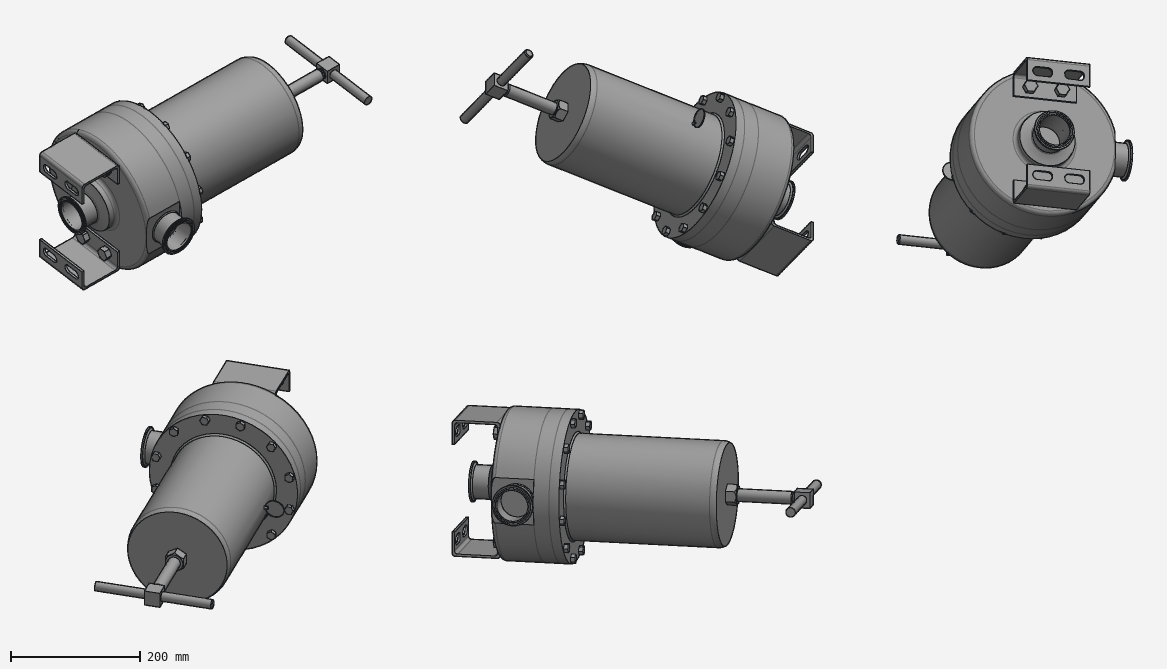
import cadquery as cq
import math


HOUSING_R = 120.5
HOUSING_FACE_Y = 76.0
HOUSING_EDGE_R = 6.5
HOUSING_TOP_Y = 144.0
COVER_SEAM_Y = 169.0
FLANGE_TOP_Y = 184.5
OUTLET_FLAT_X = 114.5

TUBE_R = 83.5
TUBE_WELD = 3.0
CAP_EDGE_Y = 416.0
CAP_END_Y = 426.0
CAP_END_R = 80.5

NUT_FLATS = 29.0
NUT_END_Y = 443.0
NUT_END_R = 14.0
SPINDLE_R = 10.0
SPINDLE_CHAMFER = 1.5
SPINDLE_END_Y = 530.5
NECK_R = 8.0
NECK_FLARE = 1.0
BLOCK_SIDE = 25.0
BLOCK_BASE_Y = 534.5
BLOCK_END_Y = 559.5
HANDLE_DIAMETER = 15.0
HANDLE_LENGTH = 190.0
HANDLE_CHAMFER = 1.5

PIPE_DIAMETER = 53.0
PIPE_R = PIPE_DIAMETER / 2
PIPE_WELD = 1.5
BORE_R = 24.5
RIM_R = 32.0
RIM_THICKNESS = 3.0
FLARE_LENGTH = 2.0
FLARE_R = 30.0
GROOVE_CIRCLE_R = 28.0
GROOVE_DEPTH = 1.0
INLET_END_Y = 22.0
OUTLET_END_X = 145.5
OUTLET_Y = 116.5

BOSS_R = 45.0
BOSS_EDGE_Y = 60.5
BOSS_FILLET = 6.0
BOSS_CURVE_R = 36.0
BOSS_CURVE_Y = 57.5
PIPE_BASE_Y = 53.5

BOLT_COUNT = 12
BOLT_CIRCLE_R = 112.0
BOLT_FLATS = 13.0
BOLT_HEIGHT = 6.5

BRACKET_WIDTH = 101.5
BRACKET_OUTER_Z = 108.5
BRACKET_INNER_Z = 70.0
BRACKET_T = 4.0
BRACKET_BEND_R = 5.0
SLOT_X = 26.0
SLOT_Z = 86.0
SLOT_LENGTH = 32.0
SLOT_WIDTH = 15.0
BRACKET_BOLT_FLATS = 19.0
BRACKET_BOLT_HEIGHT = 10.0

TAG_R = 15.0
TAG_T = 1.5
TAG_X = -100.0
TAG_Y = 239.5
TAG_TILT = -5
TAG_STEM_R = 3.0
TAG_STEM_END_X = -89.5


def y_plane(y):
    """Workplane across the main axis at height y: local x = X, local y = Z, normal = -Y."""
    return cq.Workplane("XZ", origin=(0, y, 0))


def y_cylinder(radius, y_start, y_end):
    return y_plane(y_end).circle(radius).extrude(y_end - y_start)


def hex_prism(flats, y_start, y_end, x=0, z=0, vertex_angle=0):
    """Hexagonal prism along Y with one corner at vertex_angle degrees from +X toward +Z."""
    prism = y_plane(y_end).polygon(6, flats / math.cos(math.pi / 6)).extrude(y_end - y_start)
    return prism.rotate((0, 0, 0), (0, 1, 0), -vertex_angle).translate((x, 0, z))


def revolve_about_y(profile):
    return profile.close().revolve(360, (0, 0, 0), (0, 1, 0))


def make_housing():
    lower = y_cylinder(HOUSING_R, HOUSING_FACE_Y, HOUSING_TOP_Y).faces("<Y").edges().fillet(HOUSING_EDGE_R)
    beyond_flat = cq.Workplane("XY").box(HOUSING_R, 2 * HOUSING_TOP_Y, 2 * HOUSING_R)
    lower = lower.cut(beyond_flat.translate((OUTLET_FLAT_X + HOUSING_R / 2, 0, 0)))
    middle = y_cylinder(HOUSING_R, HOUSING_TOP_Y, COVER_SEAM_Y)
    flange = y_cylinder(HOUSING_R, COVER_SEAM_Y, FLANGE_TOP_Y)
    return lower.union(middle, clean=False).union(flange, clean=False)


def make_chamber():
    return revolve_about_y(
        cq.Workplane("XY")
        .moveTo(0, COVER_SEAM_Y)
        .lineTo(TUBE_R + TUBE_WELD, COVER_SEAM_Y)
        .lineTo(TUBE_R + TUBE_WELD, FLANGE_TOP_Y)
        .lineTo(TUBE_R, FLANGE_TOP_Y + TUBE_WELD)
        .lineTo(TUBE_R, CAP_EDGE_Y)
        .tangentArcPoint((CAP_END_R, CAP_END_Y), relative=False)
        .lineTo(0, CAP_END_Y)
    )


def make_spindle():
    nut = hex_prism(NUT_FLATS, CAP_END_Y, NUT_END_Y, vertex_angle=90)
    blank_r = NUT_FLATS
    nut_cone = y_cylinder(blank_r, CAP_END_Y, NUT_END_Y).faces(">Y").chamfer(blank_r - NUT_END_R)
    shaft = revolve_about_y(
        cq.Workplane("XY")
        .moveTo(0, CAP_END_Y)
        .lineTo(SPINDLE_R, CAP_END_Y)
        .lineTo(SPINDLE_R, SPINDLE_END_Y - SPINDLE_CHAMFER)
        .lineTo(SPINDLE_R - SPINDLE_CHAMFER, SPINDLE_END_Y)
        .lineTo(NECK_R, SPINDLE_END_Y)
        .lineTo(NECK_R, BLOCK_BASE_Y - NECK_FLARE)
        .lineTo(NECK_R + NECK_FLARE, BLOCK_BASE_Y)
        .lineTo(0, BLOCK_BASE_Y)
    )
    return nut.intersect(nut_cone).union(shaft)


def make_handle():
    block_length = BLOCK_END_Y - BLOCK_BASE_Y
    block_y = (BLOCK_BASE_Y + BLOCK_END_Y) / 2
    block = cq.Workplane("XY").box(BLOCK_SIDE, block_length, BLOCK_SIDE)
    bar = cq.Workplane("YZ").circle(HANDLE_DIAMETER / 2).extrude(HANDLE_LENGTH / 2, both=True)
    bar = bar.faces("<X").chamfer(HANDLE_CHAMFER)
    return block.union(bar).translate((0, block_y, 0))


def ferrule(length):
    """Solid pipe along +Y from Y = 0 with a weld at its base and a clamp rim at its far end."""
    rim_y = length - RIM_THICKNESS
    return revolve_about_y(
        cq.Workplane("XY")
        .lineTo(PIPE_R + PIPE_WELD, 0)
        .lineTo(PIPE_R, PIPE_WELD)
        .lineTo(PIPE_R, rim_y - FLARE_LENGTH)
        .lineTo(FLARE_R, rim_y)
        .lineTo(RIM_R, rim_y)
        .lineTo(RIM_R, length)
        .lineTo(0, length)
    )


def ferrule_cut(length):
    """Bore of a ferrule and the gasket groove in its end face."""
    groove = cq.Workplane("XY").center(GROOVE_CIRCLE_R, length).circle(GROOVE_DEPTH)
    groove = groove.revolve(360, (-GROOVE_CIRCLE_R, 0, 0), (-GROOVE_CIRCLE_R, 1, 0))
    return y_cylinder(BORE_R, 0, length).union(groove)


def place_inlet(shape):
    return shape.rotate((0, 0, 0), (1, 0, 0), 180).translate((0, HOUSING_FACE_Y, 0))


def place_outlet(shape):
    return shape.rotate((0, 0, 0), (0, 0, 1), -90).translate((OUTLET_FLAT_X, OUTLET_Y, 0))


def make_inlet_boss():
    fillet_mid = BOSS_FILLET * (1 - math.sqrt(0.5))
    return revolve_about_y(
        cq.Workplane("XY")
        .moveTo(0, HOUSING_FACE_Y)
        .lineTo(BOSS_R + BOSS_FILLET, HOUSING_FACE_Y)
        .threePointArc(
            (BOSS_R + fillet_mid, HOUSING_FACE_Y - fillet_mid),
            (BOSS_R, HOUSING_FACE_Y - BOSS_FILLET),
        )
        .lineTo(BOSS_R, BOSS_EDGE_Y)
        .threePointArc((BOSS_CURVE_R, BOSS_CURVE_Y), (PIPE_R + PIPE_WELD, PIPE_BASE_Y))
        .lineTo(PIPE_R, PIPE_BASE_Y - PIPE_WELD)
        .lineTo(0, PIPE_BASE_Y - PIPE_WELD)
    )


def make_flange_bolts():
    bolts = cq.Workplane("XY")
    pitch = 360 / BOLT_COUNT
    for index in range(BOLT_COUNT):
        angle = math.radians((index + 0.5) * pitch)
        x = BOLT_CIRCLE_R * math.cos(angle)
        z = BOLT_CIRCLE_R * math.sin(angle)
        top_y = FLANGE_TOP_Y + BOLT_HEIGHT
        bolts = bolts.union(hex_prism(BOLT_FLATS, FLANGE_TOP_Y, top_y, x, z, index * pitch))
    return bolts


def make_upper_bracket():
    """C-shaped bracket above the axis with two slots and the two bolts that hold it."""
    height = BRACKET_OUTER_Z - BRACKET_INNER_Z
    middle = (0, HOUSING_FACE_Y / 2, (BRACKET_OUTER_Z + BRACKET_INNER_Z) / 2)
    outer = cq.Workplane("XY").box(BRACKET_WIDTH, HOUSING_FACE_Y, height)
    outer = outer.edges("|X and >Z").fillet(BRACKET_BEND_R)
    inner = cq.Workplane("XY").box(BRACKET_WIDTH, HOUSING_FACE_Y - 2 * BRACKET_T, height)
    inner = inner.edges("|X and >Z").fillet(BRACKET_BEND_R).translate((0, 0, -BRACKET_T))
    bracket = outer.cut(inner).translate(middle)
    slots = y_plane(BRACKET_T).pushPoints([(-SLOT_X, SLOT_Z), (SLOT_X, SLOT_Z)])
    bracket = bracket.cut(slots.slot2D(SLOT_LENGTH, SLOT_WIDTH).extrude(BRACKET_T))
    seat_y = HOUSING_FACE_Y - BRACKET_T
    for x in (-SLOT_X, SLOT_X):
        bracket = bracket.union(
            hex_prism(BRACKET_BOLT_FLATS, seat_y - BRACKET_BOLT_HEIGHT, seat_y, x, SLOT_Z)
        )
    return bracket


def make_tag():
    disc = y_cylinder(TAG_R, -TAG_T / 2, TAG_T / 2).rotate((0, 0, 0), (1, 0, 0), TAG_TILT)
    stem = cq.Workplane("YZ").circle(TAG_STEM_R).extrude(TAG_STEM_END_X)
    return disc.translate((TAG_X, 0, 0)).union(stem).translate((0, TAG_Y, 0))


inlet_length = HOUSING_FACE_Y - INLET_END_Y
outlet_length = OUTLET_END_X - OUTLET_FLAT_X
upper_bracket = make_upper_bracket()

result = make_housing()
for part in (
    make_chamber(),
    make_spindle(),
    make_handle(),
    make_inlet_boss(),
    place_inlet(ferrule(inlet_length)),
    place_outlet(ferrule(outlet_length)),
    make_flange_bolts(),
    upper_bracket,
    upper_bracket.mirror("XY"),
    make_tag(),
):
    result = result.union(part, clean=False)
result = result.cut(place_inlet(ferrule_cut(inlet_length)), clean=False)
result = result.cut(place_outlet(ferrule_cut(outlet_length)), clean=False)